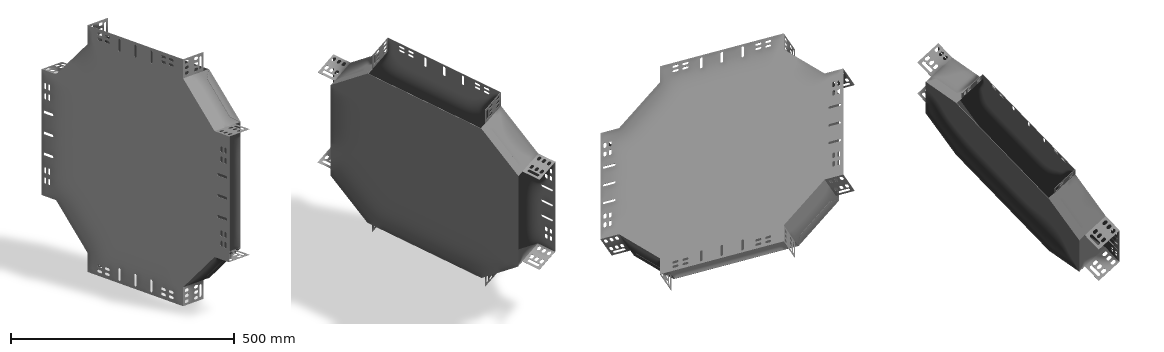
import cadquery as cq
import math

span = 591.5
arm_width = 301.5
arm_length = 45.5
total_height = 81.5
sheet = 0.8
tab_height = 64.5
lip_depth = 20.0

face_slot_width = 6.5
short_face_slot_length = 15.0
short_face_slot_offsets = (88.5, 113.0)
short_face_slot_setbacks = (11.0, 23.5)
long_face_slot_length = 31.0
long_face_slot_pitch = 50.0
long_face_slot_setback = 21.0

tab_slot_width = 7.5
short_tab_slot_length = 12.5
short_tab_slot_setbacks = (9.0, 22.5, 35.5)
short_tab_slot_heights = (12.0, 41.5)
long_tab_slot_length = 30.0
long_tab_slot_setback = 22.5
long_tab_slot_height = 55.0

arm_end = span / 2
arm_side = arm_width / 2
shoulder = arm_end - arm_length
wall_height = total_height - sheet
wall_turn = 45
bend_shift = sheet * math.tan(math.radians(wall_turn / 2))
quarter_turns = (0, 90, 180, 270)


def plate(points, height):
    """Flat outline in X and Z, thickened from Y = 0 toward +Y."""
    return cq.Workplane("XZ").polyline(points).close().extrude(-height)


def turned(shape, angle):
    """Copy of a shape turned about the Y axis."""
    return shape.rotate((0, 0, 0), (0, 1, 0), angle)


def four_corners(corner_points):
    """Closed outline made of one corner's points, repeated at every quarter turn."""
    outline = []
    for turn in range(4):
        outline += corner_points
        corner_points = [(z, -x) for x, z in corner_points]
    return outline


def corner_wall():
    """Diagonal wall at the +X +Z corner, bent at both ends into a lower tab along an arm side."""
    inner_side = arm_side - sheet
    inner_shoulder = shoulder - bend_shift
    wall = plate(
        [
            (arm_side, arm_end),
            (arm_side, shoulder),
            (shoulder, arm_side),
            (arm_end, arm_side),
            (arm_end, inner_side),
            (inner_shoulder, inner_side),
            (inner_side, inner_shoulder),
            (inner_side, arm_end),
        ],
        wall_height,
    )
    above_tab = cq.Workplane("XY").box(
        arm_length, wall_height - tab_height, span, centered=(False, False, True)
    ).translate((shoulder, tab_height, 0))
    return wall.cut(above_tab).cut(turned(above_tab, -90))


def face_slot_cutters():
    """Slots through the tray face at the +Z arm end."""
    sides = (-1, 1)
    short_points = [
        (side * offset, arm_end - setback)
        for side in sides
        for offset in short_face_slot_offsets
        for setback in short_face_slot_setbacks
    ]
    long_points = [
        (step * long_face_slot_pitch, arm_end - long_face_slot_setback) for step in (-1, 0, 1)
    ]
    short_slots = (
        cq.Workplane("XZ").pushPoints(short_points)
        .slot2D(short_face_slot_length, face_slot_width).extrude(-sheet)
    )
    long_slots = (
        cq.Workplane("XZ").pushPoints(long_points)
        .slot2D(long_face_slot_length, face_slot_width, 90).extrude(-sheet)
    )
    return short_slots.add(long_slots).combine()


def tab_slot_cutters():
    """Slots through both tabs of the +Z arm, running across the whole arm along X."""
    across = cq.Workplane("YZ", origin=(-arm_side, 0, 0))
    short_points = [
        (height, arm_end - setback)
        for height in short_tab_slot_heights
        for setback in short_tab_slot_setbacks
    ]
    short_slots = (
        across.pushPoints(short_points)
        .slot2D(short_tab_slot_length, tab_slot_width).extrude(arm_width)
    )
    long_slot = (
        across.center(long_tab_slot_height, arm_end - long_tab_slot_setback)
        .slot2D(long_tab_slot_length, tab_slot_width, 90).extrude(arm_width)
    )
    return short_slots.add(long_slot).combine()


def make_tray():
    """Cross-shaped sheet tray with four diagonal walls and slotted joining tabs."""
    tray = plate(
        four_corners(
            [
                (arm_side, arm_end),
                (arm_side, shoulder),
                (shoulder, arm_side),
                (arm_end, arm_side),
            ]
        ),
        sheet,
    )
    for angle in quarter_turns:
        tray = tray.union(turned(corner_wall(), angle))
    for angle in quarter_turns:
        tray = tray.cut(turned(face_slot_cutters(), angle))
        tray = tray.cut(turned(tab_slot_cutters(), angle))
    return tray


def cover_lip():
    """Trapezoid lip on the outside of the +X +Z diagonal wall, tapering at 45 degrees at both ends."""
    half_root = (shoulder - arm_side) / math.sqrt(2)
    half_tip = half_root - (lip_depth - sheet)
    wall_middle = (shoulder + arm_side) / 2
    wall_plane = cq.Plane(
        origin=(wall_middle, total_height, wall_middle), xDir=(1, 0, -1), normal=(1, 0, 1)
    )
    return (
        cq.Workplane(wall_plane)
        .polyline(
            [
                (-half_root, 0),
                (half_root, 0),
                (half_root, -sheet),
                (half_tip, -lip_depth),
                (-half_tip, -lip_depth),
                (-half_root, -sheet),
            ]
        )
        .close()
        .extrude(sheet)
    )


def make_cover():
    """Octagonal sheet cover with a lip folded down over each diagonal wall."""
    cover = plate(four_corners([(arm_side, shoulder), (shoulder, arm_side)]), sheet)
    cover = cover.translate((0, wall_height, 0))
    for angle in quarter_turns:
        cover = cover.union(turned(cover_lip(), angle))
    return cover


tray = make_tray()
cover = make_cover()

result = cq.Compound.makeCompound([tray.solids().val(), cover.solids().val()])